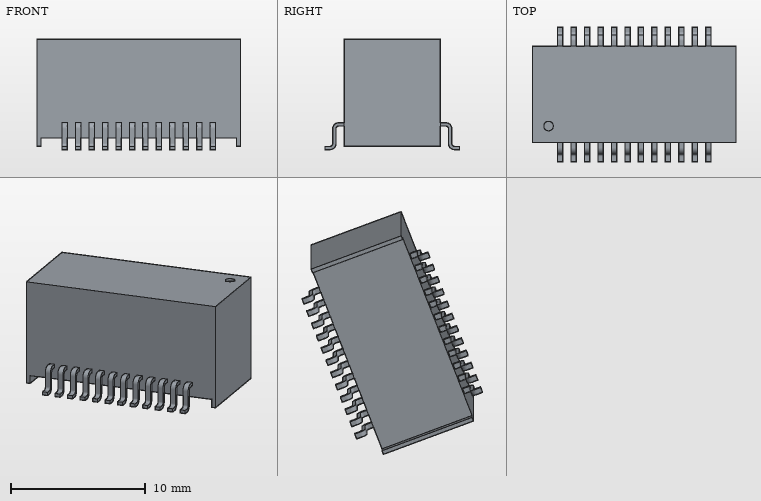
import cadquery as cq

overall_length = 15.1
overall_width = 10.0
overall_height = 8.2

body_width = 7.15
standoff = 0.24
end_wall_thickness = 0.3
underside_recess = 0.62

dot_diameter = 0.71
dot_depth = 0.2
dot_from_end = 1.2
dot_from_side = 1.24

leads_per_side = 12
lead_row_length = 11.0
lead_width = 0.41
lead_thickness = 0.25
lead_top = 2.01
inner_bend_radius = 0.2
shoulder_length = 0.4

body_height = overall_height - standoff
outer_bend_radius = inner_bend_radius + lead_thickness
lead_pitch = lead_row_length / (leads_per_side - 1)


def make_body():
    """Block with a recess along the underside that leaves a wall at each end."""
    block = cq.Workplane("XY").box(
        overall_length, body_width, body_height, centered=(True, True, False)
    )
    recess = cq.Workplane("XY").box(
        overall_length - 2 * end_wall_thickness,
        body_width,
        underside_recess,
        centered=(True, True, False),
    )
    return block.cut(recess).translate((0, 0, standoff))


def make_dot():
    """Cylinder that cuts the shallow round pin-one mark into the top."""
    return (
        cq.Workplane("XY", origin=(0, 0, overall_height - dot_depth))
        .center(dot_from_end - overall_length / 2, dot_from_side - body_width / 2)
        .circle(dot_diameter / 2)
        .extrude(dot_depth)
    )


def make_lead():
    """S-shaped lead on the +Y side, centred on X = 0."""
    body_face = body_width / 2
    tip = overall_width / 2
    bend_start = body_face + shoulder_length
    shank_outer = bend_start + outer_bend_radius
    shank_inner = shank_outer - lead_thickness
    foot_start = shank_outer + inner_bend_radius
    stub_bottom = lead_top - lead_thickness
    return (
        cq.Workplane("YZ", origin=(-lead_width / 2, 0, 0))
        .moveTo(body_face, lead_top)
        .lineTo(bend_start, lead_top)
        .tangentArcPoint((shank_outer, lead_top - outer_bend_radius), relative=False)
        .lineTo(shank_outer, outer_bend_radius)
        .tangentArcPoint((foot_start, lead_thickness), relative=False)
        .lineTo(tip, lead_thickness)
        .lineTo(tip, 0)
        .lineTo(foot_start, 0)
        .tangentArcPoint((shank_inner, outer_bend_radius), relative=False)
        .lineTo(shank_inner, stub_bottom - inner_bend_radius)
        .tangentArcPoint((bend_start, stub_bottom), relative=False)
        .lineTo(body_face, stub_bottom)
        .close()
        .extrude(lead_width)
    )


result = make_body().cut(make_dot())

back_lead = make_lead()
front_lead = back_lead.mirror("XZ")
for index in range(leads_per_side):
    lead_x = index * lead_pitch - lead_row_length / 2
    for lead in (back_lead, front_lead):
        result = result.union(lead.translate((lead_x, 0, 0)))